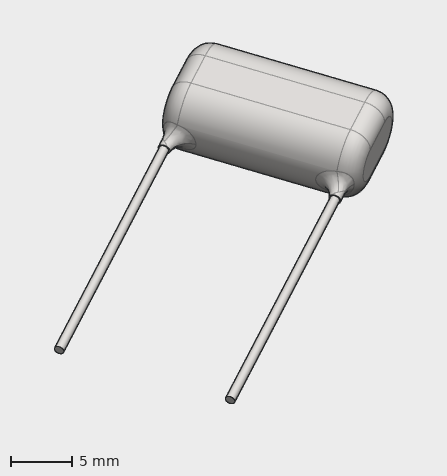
import cadquery as cq

TOTAL_LENGTH = 34.9

HOUSING_WIDTH = 17.5
HOUSING_DEPTH = 9.9
HOUSING_HEIGHT = 6.7
END_FILLET = 1.75

COLLAR_DIAMETER = 1.0
COLLAR_LENGTH = 1.43
COLLAR_FILLET = 1.75
SEAM_MARGIN = 0.05

LEAD_DIAMETER = 0.85
LEAD_SPACING = 15.0

housing_front = -HOUSING_DEPTH / 2
collar_end = housing_front - COLLAR_LENGTH
untrimmed_end = collar_end - COLLAR_LENGTH / 2
lead_end = HOUSING_DEPTH / 2 - TOTAL_LENGTH
lead_positions = [-LEAD_SPACING / 2, LEAD_SPACING / 2]


def rod(x, y_start, y_end, diameter):
    """Round bar running toward -Y from y_start to y_end."""
    return (
        cq.Workplane("XZ", origin=(x, y_start, 0))
        .circle(diameter / 2)
        .extrude(y_start - y_end)
    )


def collar_seam(body, x):
    """Edges where the collar at x enters the rounded housing."""
    collar_zone = cq.selectors.BoxSelector(
        (x - COLLAR_DIAMETER, housing_front + END_FILLET, -COLLAR_DIAMETER),
        (x + COLLAR_DIAMETER, housing_front - SEAM_MARGIN, COLLAR_DIAMETER),
        boundingbox=True,
    )
    return body.edges(collar_zone).vals()


def trim_collars(body):
    """Cut the collars flush, slightly within the sweep of their fillets."""
    waste = cq.Workplane("XZ", origin=(0, collar_end, 0)).rect(HOUSING_WIDTH, HOUSING_HEIGHT)
    return body.cut(waste.extrude(COLLAR_LENGTH))


def make_housing():
    """Stadium-section housing with rounded ends and flared lead collars."""
    body = (
        cq.Workplane("YZ")
        .slot2D(HOUSING_DEPTH, HOUSING_HEIGHT)
        .extrude(HOUSING_WIDTH / 2, both=True)
        .faces("<X or >X")
        .edges()
        .fillet(END_FILLET)
    )
    for x in lead_positions:
        body = body.union(rod(x, 0, untrimmed_end, COLLAR_DIAMETER))
    for x in lead_positions:
        body = body.newObject(collar_seam(body, x)).fillet(COLLAR_FILLET)
    return trim_collars(body).solids()


def make_lead(x):
    """Straight lead that meets the end face of its collar."""
    return rod(x, collar_end, lead_end, LEAD_DIAMETER)


housing = make_housing()
leads = [make_lead(x) for x in lead_positions]

result = cq.Compound.makeCompound([housing.val(), *[lead.val() for lead in leads]])